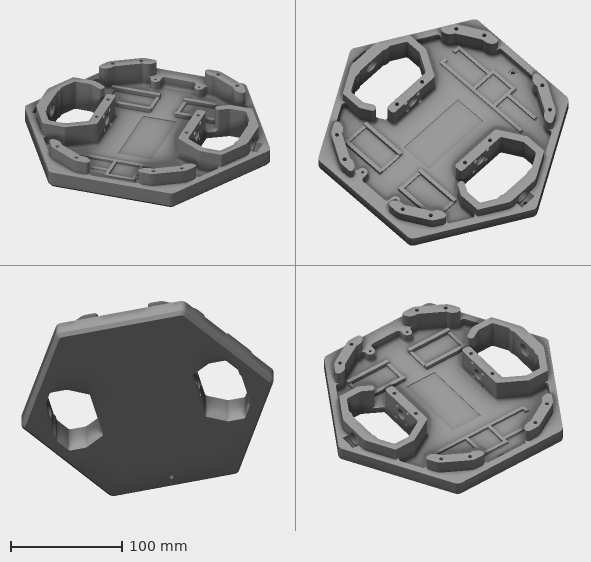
import cadquery as cq
import math

plate_flats = 203.1
plate_height = 16.0
plate_corner_radius = 6.0
bottom_chamfer = 3.0
total_height = 28.6
rim_width = 6.5
inner_apothem = plate_flats / 2 - rim_width
vertex_flat = 100.5
vertex_round = 11.6

floor_z = 6.0
floor_fillet = 3.0
wall_fillet = 3.0
north_wall_y = 89.0
wall_height = total_height - floor_z

boss_width = 9.5
boss_hole_pitch = 26.0
boss_end_radius = 9.3
boss_end_pitch = 39.0
boss_end_inset = 2.5
boss_angles = (60, 120, 240, 300)
top_screw_diameter = 3.7
top_screw_depth = total_height - plate_height

cos_30 = math.cos(math.radians(30))
slope_30 = math.tan(math.radians(30))
frame_half_y = 42.5
frame_wall = 6.5
opening_half_y = frame_half_y - frame_wall
opening_outer_x = 90.5
pad_thickness = 1.2
pad_start_y = 14.7
pad_full_y = 17.5
post_outer_x = 47.2
post_inner_x = 38.5
post_top_y = 25.4
post_round = 2.8
post_screw_y = 16.0
arm_tip_x = 56.0
shoulder_x = post_outer_x + (opening_half_y - post_top_y) / slope_30
outer_shoulder_x = shoulder_x - frame_wall * math.tan(math.radians(15))
post_corner_y = frame_half_y - (outer_shoulder_x - post_inner_x) * slope_30
arm_tip_y = opening_half_y - (shoulder_x - arm_tip_x) * slope_30 + frame_wall / 2 / cos_30
frame_corner_x = (inner_apothem - frame_half_y / 2) / cos_30

bore_z = 17.5
motor_bore_diameter = 11.0
axle_bore_diameter = 12.8
counterbore_diameter = 16.5
counterbore_outer_x = 107.0
counterbore_depth = 0.5
seat_hole_diameter = 3.7
seat_hole_depth = 6.0
motor_screw_diameter = 4.5
wide_screw_radius = 12.5
narrow_screw_radius = 9.5

hook_x = 20.7
hook_y = 82.5
hook_radius = 4.5
hook_hole_diameter = 2.5
hook_hole_depth = 6.0
plateau_half_x = hook_x + 7.0

screen_width = 31.9
screen_length = 69.5
recess_depth = 1.0
drain_y = -88.9
drain_square = 6.3
drain_diameter = 3.7

holder_inner_x = 11.5
holder_outer_x = 57.0
holder_low_y = 41.0
holder_high_y = 69.8
holder_rail_width = 3.5
holder_rail_height = 4.5
holder_stop_width = 3.0
holder_stop_height = 2.0

tray_height = 2.5
tray_cove = 2.0
tray_wall = 3.0
tray_left_x = -48.0
tray_right_x = 53.3
tray_top_y = -49.3
tray_left_bottom_y = -70.3
tray_right_bottom_y = -74.0
tray_box_half_x = 14.2
tray_box_bottom_y = -78.2
tray_lip_high_y = -56.3
tray_lip_low_y = -66.3

SIDES = (-1, 1)
CLEAR = 2.3


def block(x0, x1, y0, y1, z0, z1):
    """Axis-aligned box between two opposite corners."""
    return cq.Workplane("XY").box(x1 - x0, y1 - y0, z1 - z0, centered=False).translate((x0, y0, z0))


def hexagon(apothem, z0, z1):
    """Hexagonal prism with two vertices on the X axis."""
    return cq.Workplane("XY", origin=(0, 0, z0)).polygon(6, 2 * apothem / cos_30).extrude(z1 - z0)


def pillar(radius, x, y):
    """Cylinder from the pocket floor to the full height."""
    return cq.Workplane("XY", origin=(x, y, floor_z)).circle(radius).extrude(wall_height)


def x_bore(diameter, x0, x1, y=0, z=bore_z):
    """Cylinder along X."""
    return cq.Workplane("YZ", origin=(x0, 0, 0)).center(y, z).circle(diameter / 2).extrude(x1 - x0)


def z_bore(diameter, x, y, z_top, depth):
    """Cylinder going down from z_top."""
    return cq.Workplane("XY", origin=(x, y, z_top)).circle(diameter / 2).extrude(-depth)


def turned(solid, angle):
    """The solid turned about the Z axis."""
    return solid.rotate((0, 0, 0), (0, 0, 1), angle)


def turned_point(x, y, angle):
    """The XY point turned about the origin."""
    a = math.radians(angle)
    return x * math.cos(a) - y * math.sin(a), x * math.sin(a) + y * math.cos(a)


def both_sides(solid):
    """The solid together with its mirror image across the YZ plane."""
    return solid.union(solid.mirror("YZ"))


def rounded_corners(solid, corners):
    """Round the vertical edges nearest to the given XY points."""
    for x, y in corners:
        nearest = cq.selectors.NearestToPointSelector((x, y, total_height / 2))
        solid = solid.edges("|Z").edges(nearest).fillet(wall_fillet)
    return solid


def base_plate():
    plate = hexagon(plate_flats / 2, 0, plate_height)
    return plate.edges("|Z").fillet(plate_corner_radius).faces("<Z").edges().chamfer(bottom_chamfer)


def inner_ring():
    """Inner hexagon with clipped vertices; its outline bounds the pocket, frames and bosses."""
    clip = turned(hexagon(vertex_flat, floor_z, total_height), 30)
    return hexagon(inner_apothem, floor_z, total_height).intersect(clip).edges("|Z").fillet(vertex_round)


def sharp_boss(ring):
    """Two-screw boss at the +X vertex of the ring, with its end corners still sharp."""
    half_length = boss_end_pitch / 2
    body = block(vertex_flat - boss_width, vertex_flat, -half_length, half_length, floor_z, total_height)
    for side in SIDES:
        body = body.union(pillar(boss_end_radius, vertex_flat - boss_end_inset, side * half_length))
    return body.edges("|Z").edges("<X").fillet(wall_fillet).intersect(ring)


def boss_end_corner():
    """Point where the end circle of the boss at +X meets the side of the ring, at positive Y."""
    centre_x = vertex_flat - boss_end_inset
    centre_y = boss_end_pitch / 2
    gap = inner_apothem - centre_x * cos_30 - centre_y / 2
    reach = math.sqrt(boss_end_radius**2 - gap**2)
    return centre_x + gap * cos_30 - reach / 2, centre_y + gap / 2 + reach * cos_30


def opening():
    """Through opening inside the left frame."""
    slant_apothem = inner_apothem - frame_wall
    slant_x = (slant_apothem - opening_half_y / 2) / cos_30
    pad_x = opening_outer_x - pad_thickness
    upper = [
        (-opening_outer_x, pad_start_y),
        (-pad_x, pad_full_y),
        (-pad_x, 2 * (slant_apothem - pad_x * cos_30)),
        (-slant_x, opening_half_y),
        (-shoulder_x, opening_half_y),
        (-post_outer_x, post_top_y),
    ]
    lower = [(x, -y) for x, y in reversed(upper)]
    corners = [
        (-slant_x, opening_half_y),
        (-shoulder_x, opening_half_y),
        (-slant_x, -opening_half_y),
        (-shoulder_x, -opening_half_y),
        (-post_outer_x, -post_top_y),
    ]
    body = cq.Workplane("XY").polyline(upper + lower).close().extrude(total_height)
    return rounded_corners(body, corners)


def left_frame(ring):
    """Wall around the left opening: an arm with a rounded end, a gap, and a post."""
    far_x = vertex_flat + CLEAR
    radius = frame_wall / 2
    body = (
        cq.Workplane("XY", origin=(0, 0, floor_z))
        .moveTo(-far_x, frame_half_y)
        .lineTo(-outer_shoulder_x, frame_half_y)
        .lineTo(-arm_tip_x + radius / 2, arm_tip_y + radius * cos_30)
        .threePointArc(
            (-arm_tip_x + radius * cos_30, arm_tip_y - radius / 2),
            (-arm_tip_x - radius / 2, arm_tip_y - radius * cos_30),
        )
        .lineTo(-shoulder_x, 0)
        .lineTo(-post_outer_x, 0)
        .lineTo(-post_outer_x, post_top_y - post_round)
        .radiusArc((-post_outer_x + post_round, post_top_y), post_round)
        .lineTo(-post_inner_x - post_round, post_top_y)
        .radiusArc((-post_inner_x, post_top_y - post_round), post_round)
        .lineTo(-post_inner_x, -post_corner_y)
        .lineTo(-outer_shoulder_x, -frame_half_y)
        .lineTo(-far_x, -frame_half_y)
        .close()
        .extrude(wall_height)
    )
    corners = [
        (-outer_shoulder_x, frame_half_y),
        (-outer_shoulder_x, -frame_half_y),
        (-post_inner_x, -post_corner_y),
    ]
    return rounded_corners(body, corners).intersect(ring).cut(opening())


def north_plateau():
    """Full-height part of the plate at the north side, with two hooks reaching into the pocket."""
    far_y = inner_apothem + CLEAR
    body = block(-plateau_half_x, plateau_half_x, north_wall_y, far_y, floor_z, total_height)
    for side in SIDES:
        x = side * hook_x
        stem = block(x - hook_radius, x + hook_radius, hook_y, far_y, floor_z, total_height)
        body = body.union(stem).union(pillar(hook_radius, x, hook_y))
    return body


def pocket(ring, frames, bosses):
    """Space above the floor: the ring minus everything that rises from its floor."""
    space = ring.cut(frames).cut(north_plateau())
    for body in bosses:
        space = space.cut(body)

    end_x, end_y = boss_end_corner()
    right_corners = [
        (frame_corner_x, frame_half_y),
        (frame_corner_x, -frame_half_y),
        turned_point(end_x, -end_y, 60),
        turned_point(end_x, end_y, 300),
        turned_point(end_x, -end_y, 300),
        (hook_x - hook_radius, north_wall_y),
        (hook_x + hook_radius, north_wall_y),
    ]
    left_corners = [(-x, y) for x, y in right_corners]
    space = rounded_corners(space, right_corners + left_corners)
    return space.faces("<Z").edges().fillet(floor_fillet)


def left_gap_relief():
    """Square-edged floor at the left gap, where the arm end and post corner have no cove."""
    reach = frame_wall / 2 + floor_fillet
    top_z = floor_z + floor_fillet
    at_arm = block(0, reach, -reach, reach, floor_z, top_z)
    at_arm = at_arm.rotate((0, 0, 0), (0, 0, 1), -30).translate((-arm_tip_x, arm_tip_y, 0))
    at_post = block(-post_outer_x, -post_outer_x + post_round, post_top_y - post_round,
                    post_top_y + floor_fillet, floor_z, top_z)
    return at_arm.union(at_post)


def base_cove(points):
    """Concave cove on the floor along a wall; points run with the wall's outer side on the left."""
    (x0, y0), (x1, y1) = points[:2]
    length = math.hypot(x1 - x0, y1 - y0)
    along_x = (x1 - x0) / length
    along_y = (y1 - y0) / length
    plane = cq.Plane(origin=(x0, y0, floor_z), xDir=(-along_y, along_x, 0), normal=(along_x, along_y, 0))
    middle = tray_cove * (1 - math.sqrt(0.5))
    profile = (
        cq.Workplane(plane)
        .lineTo(tray_cove, 0)
        .threePointArc((middle, middle), (0, tray_cove))
        .close()
    )
    path = cq.Workplane("XY", origin=(0, 0, floor_z)).polyline(points)
    return profile.sweep(path, transition="right")


def tray():
    """Low walls of the lower tray: three cells in a row, with coves on the outer sides."""
    lip_inner_x = tray_right_x - tray_wall
    box_inner_x = tray_box_half_x - tray_wall
    top_inner_y = tray_top_y - tray_wall
    left_inner_y = tray_left_bottom_y + tray_wall
    right_inner_y = tray_right_bottom_y + tray_wall
    box_inner_y = tray_box_bottom_y + tray_wall
    walls = [
        (tray_left_x, tray_right_x, top_inner_y, tray_top_y),
        (lip_inner_x, tray_right_x, tray_lip_high_y, tray_top_y),
        (lip_inner_x, tray_right_x, tray_right_bottom_y, tray_lip_low_y),
        (tray_left_x, -box_inner_x, tray_left_bottom_y, left_inner_y),
        (box_inner_x, tray_right_x, tray_right_bottom_y, right_inner_y),
        (-tray_box_half_x, -box_inner_x, tray_box_bottom_y, tray_top_y),
        (box_inner_x, tray_box_half_x, tray_box_bottom_y, tray_top_y),
        (-tray_box_half_x, tray_box_half_x, tray_box_bottom_y, box_inner_y),
    ]
    top_cove = [
        (tray_left_x, top_inner_y),
        (tray_left_x, tray_top_y),
        (tray_right_x, tray_top_y),
        (tray_right_x, tray_lip_high_y),
    ]
    lip_cove = [
        (tray_right_x, tray_lip_low_y),
        (tray_right_x, tray_right_bottom_y),
    ]
    bottom_cove = [
        (tray_right_x, tray_right_bottom_y),
        (tray_box_half_x, tray_right_bottom_y),
        (tray_box_half_x, tray_box_bottom_y),
        (-tray_box_half_x, tray_box_bottom_y),
        (-tray_box_half_x, tray_left_bottom_y),
        (tray_left_x, tray_left_bottom_y),
        (tray_left_x, left_inner_y),
    ]
    body = cq.Workplane("XY")
    for x0, x1, y0, y1 in walls:
        body = body.union(block(x0, x1, y0, y1, floor_z, floor_z + tray_height))
    for points in (top_cove, lip_cove, bottom_cove):
        body = body.union(base_cove(points))
    return body


def left_holder():
    """Two tall rails along X, joined by two lower stops along Y."""
    rail_top = floor_z + holder_rail_height
    stop_top = floor_z + holder_stop_height
    body = cq.Workplane("XY")
    for y in (holder_low_y, holder_high_y - holder_rail_width):
        body = body.union(block(-holder_outer_x, -holder_inner_x, y, y + holder_rail_width, floor_z, rail_top))
    for x in (-holder_outer_x, -holder_inner_x - holder_stop_width):
        body = body.union(block(x, x + holder_stop_width, holder_low_y, holder_high_y, floor_z, stop_top))
    return body


def boss_screws():
    """Two vertical screw holes for the boss at the +X vertex."""
    x = vertex_flat - boss_width / 2
    holes = cq.Workplane("XY")
    for side in SIDES:
        y = side * boss_hole_pitch / 2
        holes = holes.union(z_bore(top_screw_diameter, x, y, total_height, top_screw_depth))
    return holes


def left_axle_holes():
    """Bore through the outer frame wall, its counterbore that also grooves the rim, and a seat hole."""
    bore = x_bore(axle_bore_diameter, -counterbore_outer_x, -opening_outer_x + CLEAR)
    seat = x_bore(counterbore_diameter, -counterbore_outer_x, -vertex_flat + counterbore_depth)
    seat_x = -(counterbore_outer_x + vertex_flat) / 2
    hole = z_bore(seat_hole_diameter, seat_x, 0, bore_z, counterbore_diameter / 2 + seat_hole_depth)
    return bore.union(seat).union(hole)


def left_post_holes():
    """Motor bore, four motor screws on two radii and two vertical screws in the left post."""
    start_x = -post_outer_x - CLEAR
    end_x = -post_inner_x + floor_fillet
    post_x = -(post_outer_x + post_inner_x) / 2
    holes = x_bore(motor_bore_diameter, start_x, end_x)
    for side_y in SIDES:
        for side_z in SIDES:
            radius = narrow_screw_radius if side_y == side_z else wide_screw_radius
            offset = radius * math.sqrt(0.5)
            screw = x_bore(motor_screw_diameter, start_x, end_x, side_y * offset, bore_z + side_z * offset)
            holes = holes.union(screw)
        top_screw = z_bore(top_screw_diameter, post_x, side_y * post_screw_y, total_height, top_screw_depth)
        holes = holes.union(top_screw)
    return holes


def floor_recess(width, length, y):
    """Shallow rectangular recess in the pocket floor, centred on X."""
    return block(-width / 2, width / 2, y - length / 2, y + length / 2, floor_z - recess_depth, floor_z)


ring = inner_ring()
sharp = sharp_boss(ring)
rounded = sharp.edges("|Z").edges(">Y or <Y").fillet(wall_fillet)
frames = both_sides(left_frame(ring))

result = base_plate().cut(pocket(ring, frames, [turned(sharp, angle) for angle in boss_angles]))
result = result.cut(left_gap_relief())
result = result.union(frames).union(tray()).union(both_sides(left_holder()))
for angle in boss_angles:
    result = result.union(turned(rounded, angle)).cut(turned(boss_screws(), angle))

result = result.cut(both_sides(opening())).cut(both_sides(left_axle_holes()))

post_holes = left_post_holes()
result = result.cut(post_holes).cut(turned(post_holes, 180))

for side in SIDES:
    result = result.cut(z_bore(hook_hole_diameter, side * hook_x, hook_y, plate_height, hook_hole_depth))
result = result.cut(floor_recess(screen_width, screen_length, 0))
result = result.cut(floor_recess(drain_square, drain_square, drain_y))
result = result.cut(z_bore(drain_diameter, 0, drain_y, floor_z, floor_z))